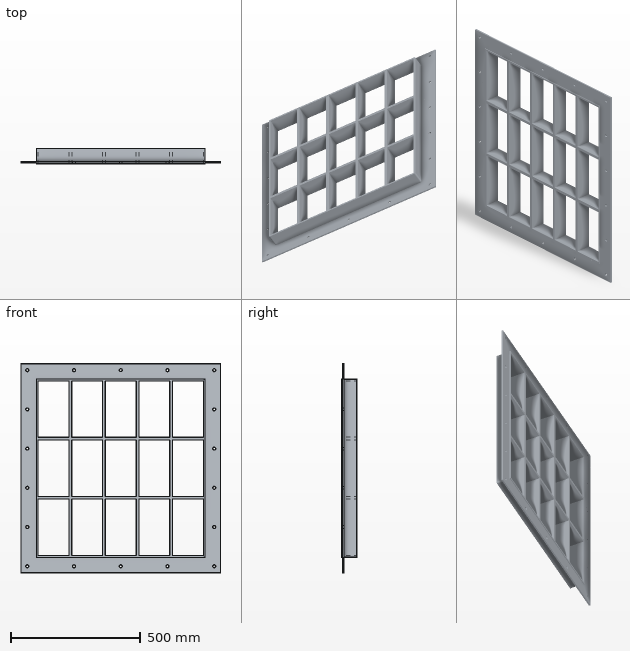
import cadquery as cq

flange_width = 774.0
flange_height = 810.0
flange_thickness = 6.0

body_width = 654.5
body_height = 690.0
body_depth = 60.0
front_lip = 3.0
wall = 7.0
rib = 11.0
corner_radius = 6.0
columns = 5
rows = 3

hole_diameter = 10.5
hole_inset = 25.0
holes_across = 5
holes_up = 6

column_pitch = (body_width - 2 * wall + rib) / columns
row_pitch = (body_height - 2 * wall + rib) / rows
hole_pitch_x = (flange_width - 2 * hole_inset) / (holes_across - 1)
hole_pitch_z = (flange_height - 2 * hole_inset) / (holes_up - 1)


def slab(width, thickness, height, front_y):
    """Box centred on X and Z whose front face lies at front_y."""
    return cq.Workplane("XY").box(width, thickness, height).translate((0, front_y + thickness / 2, 0))


def bolt_positions():
    """Evenly spaced (x, z) positions around the edge of the flange."""
    positions = []
    for i in range(holes_across):
        for j in range(holes_up):
            if i in (0, holes_across - 1) or j in (0, holes_up - 1):
                x = (i - (holes_across - 1) / 2) * hole_pitch_x
                z = (j - (holes_up - 1) / 2) * hole_pitch_z
                positions.append((x, z))
    return positions


def make_flange():
    plate = slab(flange_width, flange_thickness, flange_height, front_lip)
    holes = (
        cq.Workplane("XZ")
        .pushPoints(bolt_positions())
        .circle(hole_diameter / 2)
        .extrude(-body_depth)
    )
    return plate.cut(holes)


def make_body():
    """Uncut grid body: sharp-cornered through the flange, round-cornered behind it."""
    flange_back = front_lip + flange_thickness
    front = slab(body_width, flange_back, body_height, 0)
    rear = slab(body_width, body_depth - flange_back, body_height, flange_back)
    return front.union(rear.edges("|Y").fillet(corner_radius))


def make_cells():
    """Rectangular openings that run through the whole depth of the body."""
    return (
        cq.Workplane("XZ")
        .rarray(column_pitch, row_pitch, columns, rows)
        .rect(column_pitch - rib, row_pitch - rib)
        .extrude(-body_depth)
    )


result = make_flange().union(make_body()).cut(make_cells())